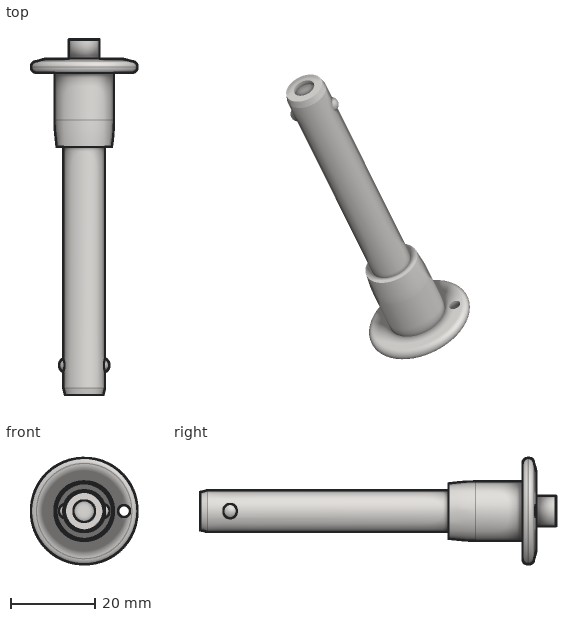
import cadquery as cq
import math

length = 84.7

shank_radius = 10.0 / 2
tip_radius = 4.6
tip_chamfer_length = 1.7
recess_radius = 5.2 / 2
recess_depth = 1.3

collar_radius = 14.2 / 2
collar_end_radius = 6.6
collar_start = 59.0
taper_end = 65.5

flange_radius = 25.4 / 2
flange_bottom = 76.65
flange_top = 80.0
rim_round = 1.35
crown_edge = 79.45
crown_flat_radius = 9.3

button_radius = 7.4 / 2
button_chamfer = 0.2

lanyard_hole_radius = 2.8 / 2
lanyard_hole_x = 9.5

ball_radius = 1.8
ball_y = 7.1
ball_reach = 6.0


def arc_point(center, radius, degrees):
    """Point on a circle in the profile plane."""
    angle = math.radians(degrees)
    return (center[0] + radius * math.cos(angle), center[1] + radius * math.sin(angle))


def revolved_body():
    """Shank, collar, flange and button as one turned profile (radius, y)."""
    lower_center = (flange_radius - rim_round, flange_bottom + rim_round)
    upper_center = (flange_radius - rim_round, crown_edge - rim_round)
    taper_length = taper_end - collar_start
    taper_drop = collar_radius - collar_end_radius
    taper_radius = (taper_length**2 + taper_drop**2) / (2 * taper_drop)
    taper_center = (collar_radius - taper_radius, taper_end)
    taper_angle = math.degrees(math.asin(taper_length / taper_radius))
    taper_mid = arc_point(taper_center, taper_radius, -taper_angle / 2)

    profile = (
        cq.Workplane("XY")
        .lineTo(tip_radius, 0)
        .lineTo(shank_radius, tip_chamfer_length)
        .lineTo(shank_radius, collar_start)
        .lineTo(collar_end_radius, collar_start)
        .threePointArc(taper_mid, (collar_radius, taper_end))
        .lineTo(collar_radius, flange_bottom)
        .lineTo(lower_center[0], flange_bottom)
        .threePointArc(arc_point(lower_center, rim_round, -45), (flange_radius, lower_center[1]))
        .lineTo(flange_radius, upper_center[1])
        .threePointArc(arc_point(upper_center, rim_round, 45), (upper_center[0], crown_edge))
        .lineTo(crown_flat_radius, flange_top)
        .lineTo(button_radius, flange_top)
        .lineTo(button_radius, length - button_chamfer)
        .lineTo(button_radius - button_chamfer, length)
        .lineTo(0, length)
        .close()
    )
    return profile.revolve(360, (0, 0, 0), (0, 1, 0))


def y_cylinder(radius, x, y_start, y_end):
    """Cylinder parallel to Y at height z = 0."""
    axis = cq.Vector(0, 1, 0)
    return cq.Workplane(cq.Solid.makeCylinder(radius, y_end - y_start, cq.Vector(x, y_start, 0), axis))


body = revolved_body()
body = body.cut(y_cylinder(recess_radius, 0, 0, recess_depth))
body = body.cut(y_cylinder(lanyard_hole_radius, lanyard_hole_x, flange_bottom, flange_top))

for side in (-1, 1):
    ball = cq.Workplane("XY").sphere(ball_radius)
    body = body.union(ball.translate((side * (ball_reach - ball_radius), ball_y, 0)))

result = body